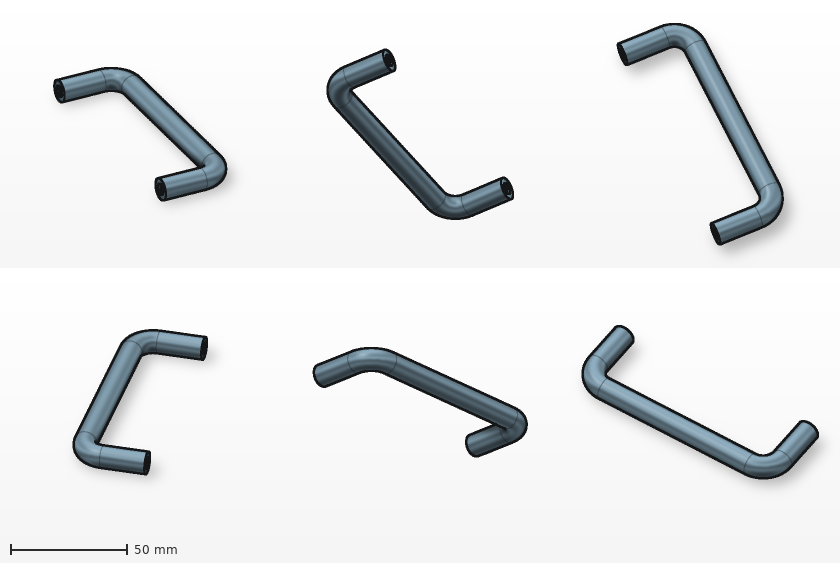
import cadquery as cq
import math

overall_length = 106.0
overall_depth = 35.0
bar_diameter = 10.0
inner_bend_radius = 5.0

hole_diameter = 3.6
hole_depth = 11.7
drill_tip_angle = 120.0
countersink_diameter = 5.2
countersink_angle = 90.0

bar_radius = bar_diameter / 2
leg_x = overall_length / 2 - bar_radius
bend_radius = inner_bend_radius + bar_radius
rail_y = overall_depth - bar_radius
bend_start_y = rail_y - bend_radius
bend_end_x = leg_x - bend_radius
bend_mid_offset = bend_radius * math.sqrt(0.5)
bend_mid_x = bend_end_x + bend_mid_offset
bend_mid_y = bend_start_y + bend_mid_offset


def make_handle():
    """Sweep the round bar along a U-shaped centreline with the leg ends on Y = 0."""
    centreline = (
        cq.Workplane("XY")
        .moveTo(-leg_x, 0)
        .lineTo(-leg_x, bend_start_y)
        .threePointArc((-bend_mid_x, bend_mid_y), (-bend_end_x, rail_y))
        .lineTo(bend_end_x, rail_y)
        .threePointArc((bend_mid_x, bend_mid_y), (leg_x, bend_start_y))
        .lineTo(leg_x, 0)
    )
    return cq.Workplane("XZ", origin=(-leg_x, 0, 0)).circle(bar_radius).sweep(centreline)


def make_hole(x):
    """Countersunk blind hole with a conical drill tip, entering a leg along +Y."""
    hole_radius = hole_diameter / 2
    countersink_radius = countersink_diameter / 2
    countersink_depth = (countersink_radius - hole_radius) / math.tan(math.radians(countersink_angle / 2))
    tip_depth = hole_radius / math.tan(math.radians(drill_tip_angle / 2))
    return (
        cq.Workplane("XY")
        .lineTo(countersink_radius, 0)
        .lineTo(hole_radius, countersink_depth)
        .lineTo(hole_radius, hole_depth)
        .lineTo(0, hole_depth + tip_depth)
        .close()
        .revolve(360, (0, 0, 0), (0, 1, 0))
        .translate((x, 0, 0))
    )


result = make_handle()
for x in (-leg_x, leg_x):
    result = result.cut(make_hole(x))